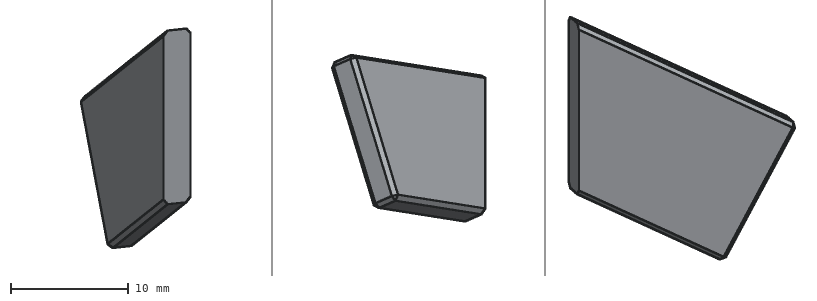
import cadquery as cq
import math

thickness = 2.5
plate_width = 13.4
chamfer_size = 0.4
reach_x = 19.85
tilt_deg = 30.0

tilt = math.radians(tilt_deg)
mitre_x = reach_x + chamfer_size * math.sin(tilt)

overrun = 5.0
blank_length = mitre_x / math.cos(tilt) + overrun
cutter_size = 2 * blank_length


def chamfered_blank():
    """Rectangular bar with all edges chamfered, its sharp upper left corner at the origin."""
    bar = cq.Workplane("XY").box(blank_length, thickness, plate_width, centered=(False, True, False))
    bar = bar.translate((0, 0, -plate_width))
    return bar.edges().chamfer(chamfer_size)


def tilted(bar):
    """Turn the bar about Y so its long sides rise toward +X."""
    return bar.rotate((0, 0, 0), (0, 1, 0), -tilt_deg)


def mitre_cutter():
    """Block filling everything beyond the vertical mitre plane."""
    block = cq.Workplane("XY").box(cutter_size, cutter_size, cutter_size, centered=(False, True, True))
    return block.translate((mitre_x, 0, 0))


result = tilted(chamfered_blank()).cut(mitre_cutter())